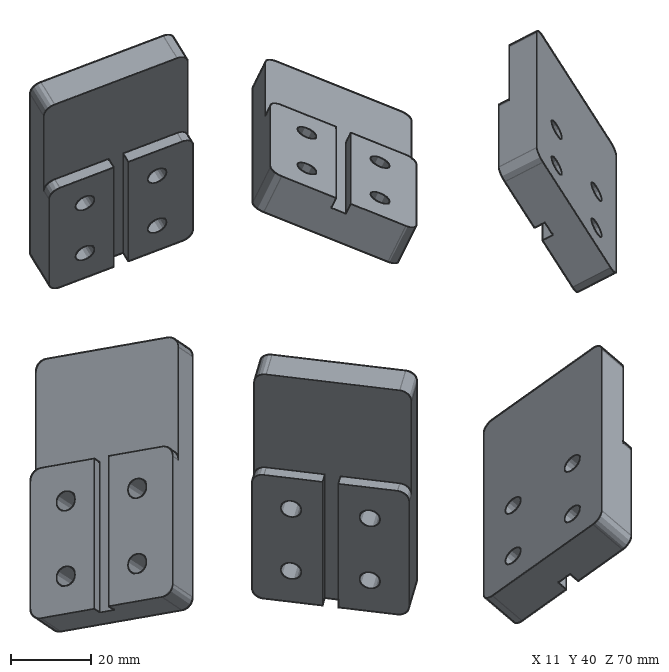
import cadquery as cq

height = 70.0
width = 40.0
thickness = 11.0
corner_radius = 3.0

pad_height = 40.0
pad_thickness = 3.0
base_thickness = thickness - pad_thickness

groove_width = 4.0

hole_diameter = 5.2
hole_spacing = 20.0
lowest_hole_height = 10.0


def rounded_slab(slab_height, slab_thickness, start_x):
    """Upright slab standing on Z = 0 with its four corners rounded."""
    return (
        cq.Workplane("XY")
        .box(slab_thickness, width, slab_height, centered=(False, True, False))
        .edges("|X")
        .fillet(corner_radius)
        .translate((start_x, 0, 0))
    )


base = rounded_slab(height, base_thickness, 0)
pad = rounded_slab(pad_height, pad_thickness, base_thickness)

groove = (
    cq.Workplane("XY")
    .box(pad_thickness, groove_width, pad_height, centered=(False, True, False))
    .translate((base_thickness, 0, 0))
)

hole_pattern_center = lowest_hole_height + hole_spacing / 2
holes = (
    cq.Workplane("YZ")
    .center(0, hole_pattern_center)
    .rect(hole_spacing, hole_spacing, forConstruction=True)
    .vertices()
    .circle(hole_diameter / 2)
    .extrude(thickness)
)

result = base.union(pad.cut(groove)).cut(holes)